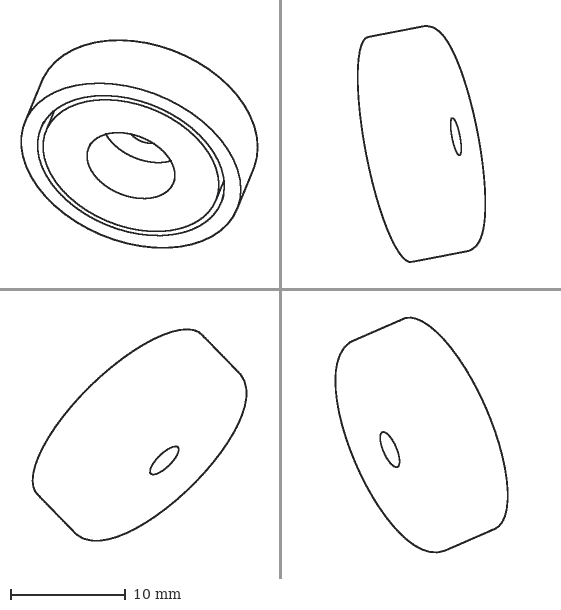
import cadquery as cq

outer_diameter = 20.0
thickness = 6.0
back_edge_radius = 1.0

groove_outer_diameter = 17.0
groove_inner_diameter = 16.0

bore_diameter = 8.0
hole_diameter = 3.3

floor_thickness = 1.5
cavity_depth = thickness - floor_thickness


def cylinder_from_open_face(diameter, length):
    """Solid cylinder on the Y axis, running from Y = 0 towards +Y."""
    return cq.Workplane("XZ").circle(diameter / 2).extrude(-length)


def make_cup():
    disc = cylinder_from_open_face(outer_diameter, thickness)
    return disc.faces(">Y").edges().fillet(back_edge_radius)


def make_groove():
    outer = cylinder_from_open_face(groove_outer_diameter, cavity_depth)
    inner = cylinder_from_open_face(groove_inner_diameter, cavity_depth)
    return outer.cut(inner)


bore = cylinder_from_open_face(bore_diameter, cavity_depth)
through_hole = cylinder_from_open_face(hole_diameter, thickness)

result = make_cup().cut(make_groove()).cut(bore).cut(through_hole)